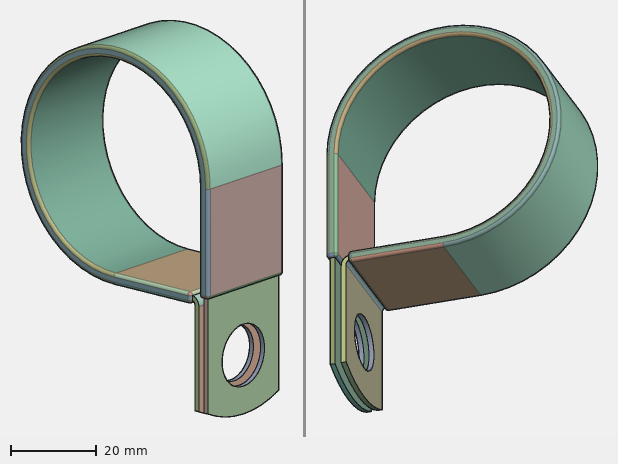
import cadquery as cq
import math

total_height = 86.9
outer_diameter = 58.0
liner_width = 27.0
liner_cover = 0.8
strap_thickness = 1.2
upright_length = 26.9
ledge_length = 23.55
bend_inner_radius = 1.1
bent_tab_outer = 25.5
hole_diameter = 13.6
clearance_hole_diameter = 15.1
hole_drop = 43.5
tab_end_rise = 2.95

outer_radius = outer_diameter / 2
liner_thickness = strap_thickness + 2 * liner_cover
inner_radius = outer_radius - liner_thickness
strap_width = liner_width - 2 * liner_cover
strap_outer = outer_radius - liner_cover
strap_inner = strap_outer - strap_thickness
bend_outer_radius = bend_inner_radius + strap_thickness
tab_bottom = outer_radius - total_height
tab_corner = tab_bottom + tab_end_rise


def extrude_centred(profile, width):
    """Extrude a closed XZ profile equally to both sides of the XZ plane."""
    return profile.extrude(width / 2, both=True)


def diagonal_point(radius):
    """Midpoint of the three-quarter loop, at its upper left."""
    return (-radius * math.sqrt(0.5), radius * math.sqrt(0.5))


def make_liner():
    """Three-quarter loop with a straight run at each end, rounded all over."""
    profile = (
        cq.Workplane("XZ")
        .moveTo(outer_radius, -upright_length)
        .lineTo(outer_radius, 0)
        .threePointArc(diagonal_point(outer_radius), (0, -outer_radius))
        .lineTo(ledge_length, -outer_radius)
        .lineTo(ledge_length, -inner_radius)
        .lineTo(0, -inner_radius)
        .threePointArc(diagonal_point(inner_radius), (inner_radius, 0))
        .lineTo(inner_radius, -upright_length)
        .close()
    )
    body = extrude_centred(profile, liner_width)
    rim_edges = body.faces("<Y or >Y").edges()
    middle_radius = (inner_radius + outer_radius) / 2
    upright_end = cq.selectors.NearestToPointSelector((middle_radius, 0, -upright_length))
    ledge_end = cq.selectors.NearestToPointSelector((ledge_length, 0, -middle_radius))
    end_edges = body.faces(upright_end).edges("|Y").add(body.faces(ledge_end).edges("|Y"))
    return rim_edges.add(end_edges).fillet(liner_cover)


def make_straight_tab():
    """Strap continuing straight down from the upright."""
    profile = (
        cq.Workplane("XZ")
        .moveTo(strap_inner, -upright_length)
        .lineTo(strap_outer, -upright_length)
        .lineTo(strap_outer, tab_bottom)
        .lineTo(strap_inner, tab_bottom)
        .close()
    )
    return extrude_centred(profile, strap_width)


def make_bent_tab():
    """Strap leaving the ledge and bending down beside the straight tab."""
    bend_z = -strap_outer - bend_inner_radius
    inner_face = bent_tab_outer - strap_thickness
    bend_start = bent_tab_outer - bend_outer_radius
    profile = (
        cq.Workplane("XZ")
        .moveTo(bend_start, -strap_inner)
        .radiusArc((bent_tab_outer, bend_z), bend_outer_radius)
        .lineTo(bent_tab_outer, tab_bottom)
        .lineTo(inner_face, tab_bottom)
        .lineTo(inner_face, bend_z)
        .radiusArc((bend_start, -strap_outer), -bend_inner_radius)
        .close()
    )
    return extrude_centred(profile, strap_width)


def make_tab_outline(tab_hole_diameter):
    """Block shaped like a tab seen along X, with its curved end and bolt hole."""
    half_width = strap_width / 2
    return (
        cq.Workplane("YZ")
        .moveTo(-half_width, 0)
        .lineTo(-half_width, tab_corner)
        .threePointArc((0, tab_bottom), (half_width, tab_corner))
        .lineTo(half_width, 0)
        .close()
        .moveTo(0, -hole_drop)
        .circle(tab_hole_diameter / 2)
        .extrude(outer_radius)
    )


straight_tab = make_straight_tab().intersect(make_tab_outline(clearance_hole_diameter))
bent_tab = make_bent_tab().intersect(make_tab_outline(hole_diameter))
result = make_liner().union(straight_tab).union(bent_tab)